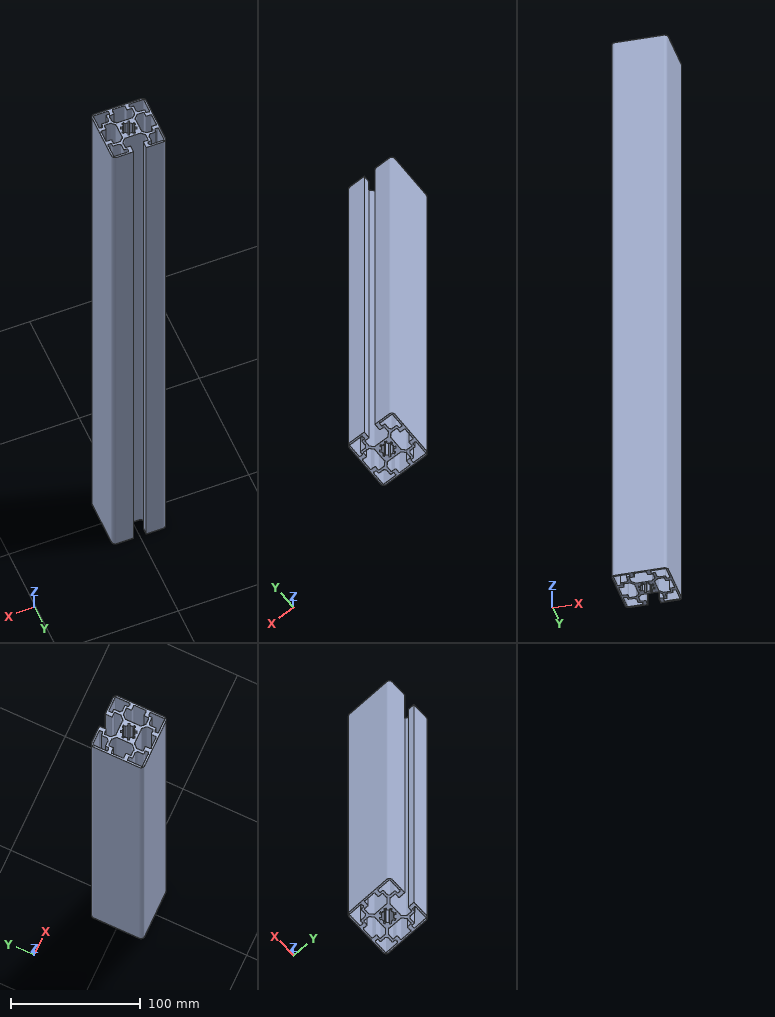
import cadquery as cq

length = 500.0
side = 45.0
half_side = side / 2
outer_radius = 3.25
wall = 1.5
wall_inside = half_side - wall
inner_radius = 0.5

bore_radius = 5.0
flute_count = 8
flute_reach = 6.5
flute_width = 1.5

mouth_half_width = 10.5 / 2
chamber_half_width = 9.5
chamber_floor = 8.0
chamber_roof = 16.5
chamber_chamfer = 3.0
open_mouth_end = half_side + 5.0

hollow_near = 11.5
hollow_chamfer = 1.5
lip_thickness = 1.5
lip_pocket_end = 8.5
lip_pocket_floor = chamber_roof + lip_thickness


def rounded_prism(points):
    """Extrude a closed outline over the full length and round its long edges."""
    prism = cq.Workplane("XY").polyline(points).close().extrude(length)
    return prism.edges("|Z").fillet(inner_radius)


def slot(mouth_end):
    """T-slot on the +Y side whose mouth reaches out to mouth_end."""
    right_half = [
        (chamber_half_width - chamber_chamfer, chamber_floor),
        (chamber_half_width, chamber_floor + chamber_chamfer),
        (chamber_half_width, chamber_roof),
        (mouth_half_width, chamber_roof),
        (mouth_half_width, mouth_end),
    ]
    left_half = [(-x, y) for x, y in reversed(right_half)]
    return rounded_prism(right_half + left_half)


def corner_hollow():
    """Hollow in the +X +Y corner, symmetric about the diagonal."""
    upper_half = [
        (lip_pocket_end, wall_inside),
        (lip_pocket_end, lip_pocket_floor),
        (hollow_near, lip_pocket_floor),
        (hollow_near, hollow_near + hollow_chamfer),
    ]
    lower_half = [(y, x) for x, y in reversed(upper_half)]
    outer_corner = (wall_inside, wall_inside)
    return rounded_prism(upper_half + lower_half + [outer_corner])


def fluted_bore():
    """Round bore with straight flutes evenly spaced, none of them on the X or Y axis."""
    bore = cq.Workplane("XY").circle(bore_radius).extrude(length)
    flute = cq.Workplane("XY").center(flute_reach / 2, 0).rect(flute_reach, flute_width).extrude(length)
    flute_pitch = 360 / flute_count
    for i in range(flute_count):
        bore = bore.union(turned(flute, (i + 0.5) * flute_pitch))
    return bore


def turned(body, angle):
    """Rotate a body about the bar axis by an angle in degrees."""
    return body.rotate((0, 0, 0), (0, 0, 1), angle)


result = cq.Workplane("XY").rect(side, side).extrude(length).edges("|Z").fillet(outer_radius)
result = result.cut(fluted_bore())

for angle in (0, 90, 180, 270):
    mouth_end = open_mouth_end if angle == 0 else wall_inside
    result = result.cut(turned(slot(mouth_end), angle))
    result = result.cut(turned(corner_hollow(), angle))